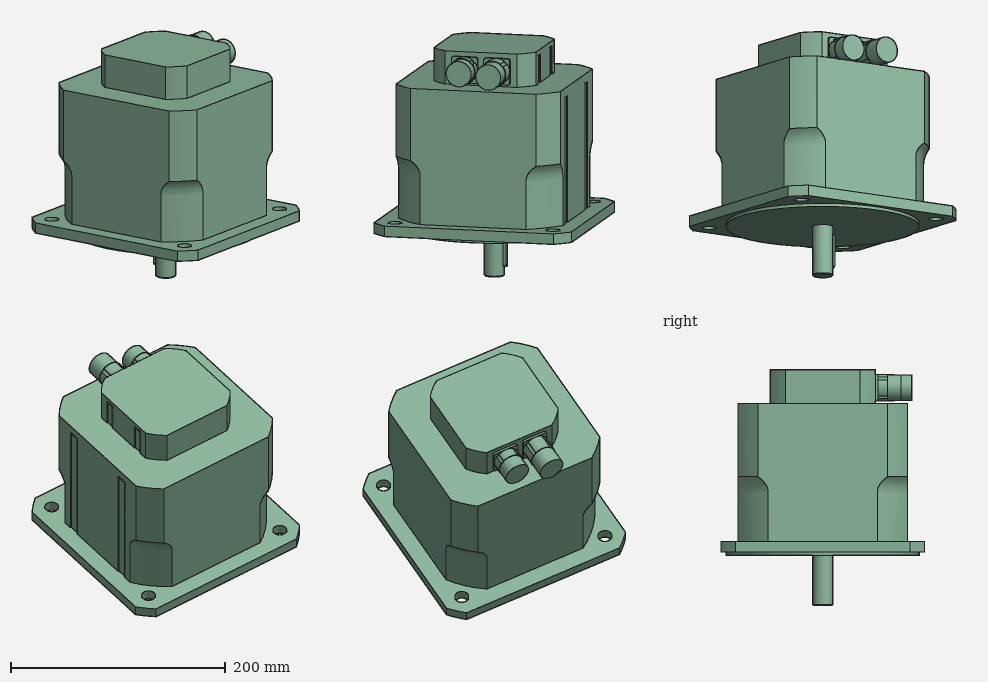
import cadquery as cq
import math


flange_side = 190.0
flange_corner_dia = 250.0
flange_thickness = 10.0
bolt_circle_dia = 215.0
bolt_hole_dia = 13.0
spigot_dia = 180.0
spigot_height = 3.0

body_side = 158.0
body_corner_dia = 199.0
body_height = 128.5
body_top = flange_thickness + body_height

relief_dia = 188.0
relief_straight_height = 46.0
relief_blend_radius = 21.0

cap_side = 98.0
cap_corner_dia = 120.0
cap_height = 31.5
cap_top = body_top + cap_height

groove_depth = 1.0
body_groove_width = 10.0
body_groove_offset = 37.5
body_groove_top_gap = 9.0
body_groove_height = body_height - body_groove_top_gap
cap_groove_width = 8.0
cap_groove_offset = 21.75
cap_groove_top_gap = 5.0
cap_groove_height = cap_height - cap_groove_top_gap

shaft_dia = 19.0
shaft_length = 50.0
shaft_chamfer = 1.0
key_width = 6.0
key_length = 32.0
key_reach = 12.0
key_end_gap = 9.0

connector_offset = 15.5
connector_drop = 17.0
connector_base_side = 25.0
connector_base_thickness = 2.25
connector_corner_radius = 2.5
connector_band_dia = 25.0
connector_plug_dia = 24.0
connector_layout = [
    (-connector_offset, 17.25, 34.0),
    (connector_offset, 11.25, 24.0),
]


def rounded_block(side, corner_dia, bottom, height):
    """Square block whose corners are turned to a cylinder about the Z axis."""
    block = cq.Workplane("XY", origin=(0, 0, bottom)).rect(side, side).extrude(height)
    turned = cq.Workplane("XY", origin=(0, 0, bottom)).circle(corner_dia / 2).extrude(height)
    return block.intersect(turned)


def make_flange():
    """Mounting flange with its four bolt holes and the spigot below it."""
    flange = rounded_block(flange_side, flange_corner_dia, 0, flange_thickness)
    hole_pitch = bolt_circle_dia / math.sqrt(2)
    holes = (
        cq.Workplane("XY")
        .rect(hole_pitch, hole_pitch, forConstruction=True)
        .vertices()
        .circle(bolt_hole_dia / 2)
        .extrude(flange_thickness)
    )
    spigot = cq.Workplane("XY").circle(spigot_dia / 2).extrude(-spigot_height)
    return flange.cut(holes).union(spigot)


def make_corner_relief():
    """Ring that turns the lower corners down and flares out to the body corners in an arc."""
    inner = relief_dia / 2
    outer = body_corner_dia / 2
    straight_top = flange_thickness + relief_straight_height
    arc_center_r = inner + relief_blend_radius

    def arc_height(radius):
        return math.sqrt(relief_blend_radius**2 - (arc_center_r - radius) ** 2)

    middle = (inner + outer) / 2
    rim = body_side
    profile = (
        cq.Workplane("XZ")
        .moveTo(inner, flange_thickness)
        .lineTo(inner, straight_top)
        .threePointArc(
            (middle, straight_top + arc_height(middle)),
            (outer, straight_top + arc_height(outer)),
        )
        .lineTo(rim, straight_top + arc_height(outer))
        .lineTo(rim, flange_thickness)
        .close()
    )
    return profile.revolve(360, (0, 0, 0), (0, 1, 0))


def make_grooves(side, bottom, width, offset, height):
    """Pair of grooves in the -X face of a block of the given side."""
    return (
        cq.Workplane("XY", origin=(groove_depth / 2 - side / 2, 0, bottom))
        .pushPoints([(0, -offset), (0, offset)])
        .rect(groove_depth, width)
        .extrude(height)
    )


def make_body():
    body = rounded_block(body_side, body_corner_dia, flange_thickness, body_height)
    grooves = make_grooves(
        body_side, flange_thickness, body_groove_width, body_groove_offset, body_groove_height
    )
    return body.cut(make_corner_relief()).cut(grooves)


def make_cap():
    cap = rounded_block(cap_side, cap_corner_dia, body_top, cap_height)
    grooves = make_grooves(cap_side, body_top, cap_groove_width, cap_groove_offset, cap_groove_height)
    return cap.cut(grooves)


def make_shaft():
    """Shaft with a chamfered end and a round-ended key on its -X side."""
    shaft = (
        cq.Workplane("XY")
        .circle(shaft_dia / 2)
        .extrude(-shaft_length)
        .faces("<Z")
        .chamfer(shaft_chamfer)
    )
    key_center = key_end_gap + key_length / 2 - shaft_length
    key = (
        cq.Workplane("YZ", origin=(0, 0, key_center))
        .slot2D(key_length, key_width, 90)
        .extrude(-key_reach)
    )
    return shaft.union(key)


def make_motor():
    return make_flange().union(make_body()).union(make_cap()).union(make_shaft())


def make_connector(x, band_end, plug_end):
    """Round connector on a square base, with a scoop in the band at each base corner."""
    plane = cq.Plane(
        origin=(x, cap_side / 2, cap_top - connector_drop), xDir=(1, 0, 0), normal=(0, 1, 0)
    )
    base = (
        cq.Workplane(plane)
        .rect(connector_base_side, connector_base_side)
        .extrude(connector_base_thickness)
        .edges("|Y")
        .fillet(connector_corner_radius)
    )
    scoop_pitch = connector_base_side - 2 * connector_corner_radius
    scoops = (
        cq.Workplane(plane)
        .rect(scoop_pitch, scoop_pitch, forConstruction=True)
        .vertices()
        .circle(connector_corner_radius)
        .extrude(band_end)
    )
    band = cq.Workplane(plane).circle(connector_band_dia / 2).extrude(band_end).cut(scoops)
    plug = cq.Workplane(plane).workplane(offset=band_end)
    plug = plug.circle(connector_plug_dia / 2).extrude(plug_end - band_end)
    return band.union(base).union(plug)


motor = make_motor()
connectors = [make_connector(*entry) for entry in connector_layout]

result = cq.Compound.makeCompound([motor.val(), *[connector.val() for connector in connectors]])